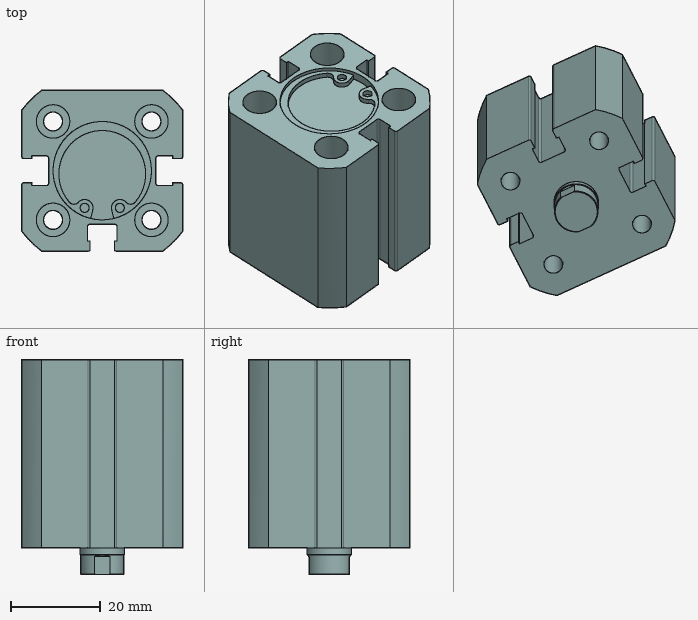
import cadquery as cq
import math


housing_width = 36.0
housing_height = 42.0
rod_projection = 6.0

corner_diameter = 45.0

slot_depth = 6.0
slot_lip_depth = 2.3
slot_mouth_width = 5.4
slot_inner_width = 6.6
slot_mouth_radius = 0.5
slot_floor_radius = 0.5
slot_directions = (180, 270, 0)

hole_pitch = 22.0
hole_diameter = 4.2
counterbore_diameter = 7.5
counterbore_depth = 7.0

bore_radius = 11.0
recess_depth = 0.85
ring_thickness = 1.2
cap_thickness = 6.0
ring_base = housing_height - recess_depth - ring_thickness
cap_base = ring_base - cap_thickness

ring_opening_radius = 9.7
ring_opening_y = -0.7
ear_x = 3.95
ear_y = -8.3
ear_radius = 1.85
ear_hole_diameter = 2.0
ear_fillet = 1.35

rod_radius = 5.0
tip_radius = 4.85
shoulder_z = -1.5
flat_spacing = 9.0
tip_chamfer = 0.15


def sensor_slot(direction):
    """Cutter for one T-shaped slot in the side wall facing the given direction."""
    wall = housing_width / 2
    floor = wall - slot_depth
    lip = wall - slot_lip_depth
    mouth = slot_mouth_width / 2
    inner = slot_inner_width / 2
    flare = mouth + slot_mouth_radius
    flare_start = wall - slot_mouth_radius
    slot = (
        cq.Workplane("XY")
        .moveTo(floor, -inner)
        .lineTo(lip, -inner)
        .lineTo(lip, -mouth)
        .lineTo(flare_start, -mouth)
        .radiusArc((wall, -flare), slot_mouth_radius)
        .lineTo(wall, flare)
        .radiusArc((flare_start, mouth), slot_mouth_radius)
        .lineTo(lip, mouth)
        .lineTo(lip, inner)
        .lineTo(floor, inner)
        .close()
        .extrude(housing_height)
    )
    slot = slot.edges("|Z and <X").fillet(slot_floor_radius)
    return slot.rotate((0, 0, 0), (0, 0, 1), direction)


def make_housing():
    """Slotted bar with counterbored corner holes, a stepped bore and open ends."""
    body = cq.Workplane("XY").rect(housing_width, housing_width).extrude(housing_height)
    body = body.intersect(cq.Workplane("XY").circle(corner_diameter / 2).extrude(housing_height))
    for direction in slot_directions:
        body = body.cut(sensor_slot(direction))
    body = (
        body.faces(">Z")
        .workplane(origin=(0, 0, housing_height))
        .rect(hole_pitch, hole_pitch, forConstruction=True)
        .vertices()
        .cboreHole(hole_diameter, counterbore_diameter, counterbore_depth)
    )
    cap_bore = cq.Workplane("XY").circle(bore_radius).extrude(housing_height - cap_base)
    rod_bore = cq.Workplane("XY").circle(rod_radius).extrude(cap_base)
    return body.cut(cap_bore.translate((0, 0, cap_base))).cut(rod_bore)


def make_end_cap():
    """Plain disc that closes the bore below the retaining ring."""
    return cq.Workplane("XY", origin=(0, 0, cap_base)).circle(bore_radius).extrude(cap_thickness)


def polar(center, radius, angle):
    """Point at the given radius and angle (radians) from a centre."""
    return (center[0] + radius * math.cos(angle), center[1] + radius * math.sin(angle))


def mirrored(point):
    """The same point on the other side of the YZ plane."""
    return (-point[0], point[1])


def make_retaining_ring():
    """Internal retaining ring, with its gap centred on -Y."""
    axis = (0, 0)
    ear = (ear_x, ear_y)
    opening = (0, ring_opening_y)

    ear_distance = math.hypot(ear_x, ear_y)
    gap_angle = math.atan2(ear_y, ear_x) - math.asin(ear_radius / ear_distance)
    gap_outer = polar(axis, bore_radius, gap_angle)
    gap_inner = polar(axis, math.sqrt(ear_distance**2 - ear_radius**2), gap_angle)

    to_ear = ear_radius + ear_fillet
    to_opening = ring_opening_radius - ear_fillet
    centers_apart = math.hypot(ear_x, ear_y - ring_opening_y)
    corner_cosine = (to_opening**2 + centers_apart**2 - to_ear**2) / (2 * to_opening * centers_apart)
    opening_angle = math.atan2(ear_y - ring_opening_y, ear_x) + math.acos(corner_cosine)
    fillet = polar(opening, to_opening, opening_angle)

    ear_start_angle = gap_angle + 3 * math.pi / 2
    ear_end_angle = math.atan2(fillet[1] - ear_y, fillet[0] - ear_x)
    ear_middle = polar(ear, ear_radius, (ear_start_angle + ear_end_angle) / 2)
    ear_end = polar(ear, ear_radius, ear_end_angle)
    fillet_start_angle = ear_end_angle - math.pi
    fillet_middle = polar(fillet, ear_fillet, (fillet_start_angle + opening_angle) / 2)
    opening_start = polar(opening, ring_opening_radius, opening_angle)
    opening_top = (0, ring_opening_y + ring_opening_radius)

    ring = (
        cq.Workplane("XY", origin=(0, 0, ring_base))
        .moveTo(*gap_outer)
        .lineTo(*gap_inner)
        .threePointArc(ear_middle, ear_end)
        .threePointArc(fillet_middle, opening_start)
        .threePointArc(opening_top, mirrored(opening_start))
        .threePointArc(mirrored(fillet_middle), mirrored(ear_end))
        .threePointArc(mirrored(ear_middle), mirrored(gap_inner))
        .lineTo(*mirrored(gap_outer))
        .threePointArc((0, bore_radius), gap_outer)
        .close()
        .extrude(ring_thickness)
    )
    ear_holes = (
        cq.Workplane("XY", origin=(0, 0, ring_base))
        .pushPoints([ear, mirrored(ear)])
        .circle(ear_hole_diameter / 2)
        .extrude(ring_thickness)
    )
    return ring.cut(ear_holes)


def make_piston_rod():
    """Rod reaching up to the end cap, with a flatted tip below the housing."""
    step = rod_radius - tip_radius
    rod_profile = [
        (0, cap_base),
        (rod_radius, cap_base),
        (rod_radius, shoulder_z),
        (tip_radius, shoulder_z - step),
        (tip_radius, tip_chamfer - rod_projection),
        (tip_radius - tip_chamfer, -rod_projection),
        (0, -rod_projection),
    ]
    rod = cq.Workplane("XZ").polyline(rod_profile).close().revolve(360, (0, 0), (0, 1))

    flat_y = flat_spacing / 2
    ramp_top = shoulder_z - step
    flat_profile = [
        (flat_y, -rod_projection),
        (flat_y, ramp_top - (tip_radius - flat_y)),
        (tip_radius, ramp_top),
        (rod_radius, ramp_top),
        (rod_radius, -rod_projection),
    ]
    flat = cq.Workplane("YZ").polyline(flat_profile).close().extrude(rod_radius, both=True)
    return rod.cut(flat).cut(flat.mirror("XZ"))


housing = make_housing()
end_cap = make_end_cap()
retaining_ring = make_retaining_ring()
piston_rod = make_piston_rod()

result = cq.Compound.makeCompound(
    [housing.val(), end_cap.val(), retaining_ring.val(), piston_rod.val()]
)